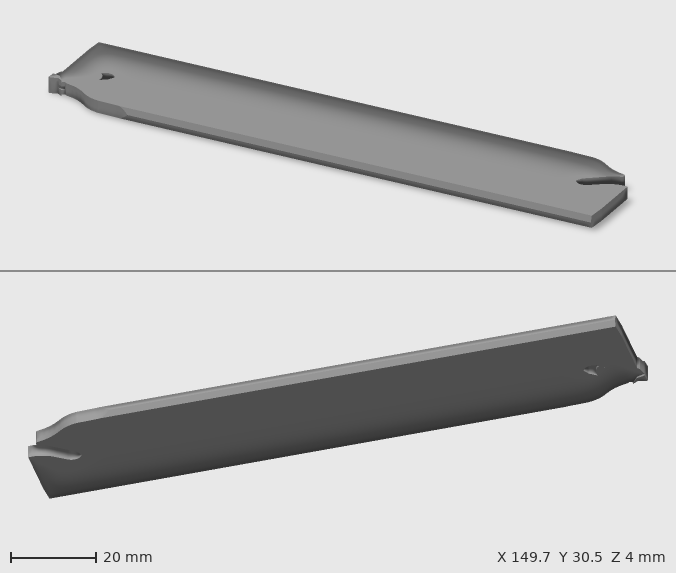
import cadquery as cq

LENGTH = 149.7
WIDTH = 30.5
THICKNESS = 3.1
RIDGE_HEIGHT = 0.52
HALF_LENGTH = LENGTH / 2
HALF_WIDTH = WIDTH / 2

END_BEND_Y = -10.2
SEAT_CORNER = (74.0, 3.9)
SEAT_SHOULDER = (69.9, 3.3)
SEAT_FOOT = (67.4, 1.6)
SLOT_LOWER = (65.3, 0.0)
SLOT_BOTTOM = (63.0, -0.22)
SLOT_REAR = (61.7, 1.0)
SLOT_UPPER = (62.4, 2.7)
CLAMP_UNDERSIDE = (67.8, 7.2)
CLAMP_LOWER = (69.6, 8.0)
CLAMP_TIP = (70.3, 8.5)
CLAMP_UPPER = (69.6, 9.6)
FLANK_MIDDLE = (66.6, 10.5)
FLANK_TURN = (63.6, 12.3)
FLANK_BEND = (61.2, 13.8)
RELIEF_START = (58.5, 14.5)
RELIEF_RISE = (54.0, 14.7)
RELIEF_MIDDLE = (52.1, 14.8)
RELIEF_END = (50.1, HALF_WIDTH)

CUTTING_WIDTH = 4.0
CUTTING_CORNER = (-HALF_LENGTH, -9.3)
HEAD_TOP = (-HALF_LENGTH, -6.9)
HEAD_SIDE = (-72.7, -7.5)
SHANK_FRONT_TOP = (-74.4, -4.6)
RAKE_MIDDLE = (-73.6, -9.1)
RAKE_END = (-72.6, -8.7)
CHIP_BUMP = (-71.1, -9.6)
BUMP_REAR = (-70.5, -9.1)
SHANK_REAR_TOP = (-65.7, -0.36)
SHANK_REAR_MIDDLE = (-64.5, -1.8)
SHANK_REAR_BOTTOM = (-64.2, -4.2)
SHANK_BELLY = (-66.6, -6.7)
SHANK_CLAMP_END = (-69.5, -8.7)
CHIP_NOTCH_WIDTH = 0.9
CHIP_NOTCH_FLOOR = -8.7


def half_turn(point):
    return (-point[0], -point[1])


def add_slot_end(outline, place):
    """Trace one blade end from its square corner to the end of the opposite ridge."""
    return (
        outline.lineTo(*place((HALF_LENGTH, END_BEND_Y)))
        .lineTo(*place(SEAT_CORNER))
        .threePointArc(place(SEAT_SHOULDER), place(SEAT_FOOT))
        .lineTo(*place(SLOT_LOWER))
        .threePointArc(place(SLOT_BOTTOM), place(SLOT_REAR))
        .lineTo(*place(SLOT_UPPER))
        .lineTo(*place(CLAMP_UNDERSIDE))
        .lineTo(*place(CLAMP_LOWER))
        .threePointArc(place(CLAMP_TIP), place(CLAMP_UPPER))
        .threePointArc(place(FLANK_MIDDLE), place(FLANK_TURN))
        .threePointArc(place(FLANK_BEND), place(RELIEF_START))
        .lineTo(*place(RELIEF_RISE))
        .threePointArc(place(RELIEF_MIDDLE), place(RELIEF_END))
    )


def in_place(point):
    return point


def extrude_centred(profile, thickness):
    """Extrude a closed profile equally above and below the XY plane."""
    return profile.extrude(thickness / 2, both=True)


def make_ridged_bar():
    """Bar with flat faces and V-shaped long edges."""
    face_half_width = HALF_WIDTH - RIDGE_HEIGHT
    half_thickness = THICKNESS / 2
    section = (
        cq.Workplane("YZ")
        .polyline([
            (-HALF_WIDTH, 0),
            (-face_half_width, -half_thickness),
            (face_half_width, -half_thickness),
            (HALF_WIDTH, 0),
            (face_half_width, half_thickness),
            (-face_half_width, half_thickness),
        ])
        .close()
    )
    return section.extrude(HALF_LENGTH, both=True)


def make_blade():
    outline = cq.Workplane("XY").moveTo(*half_turn(RELIEF_END)).lineTo(HALF_LENGTH, -HALF_WIDTH)
    outline = add_slot_end(outline, in_place)
    outline = outline.lineTo(-HALF_LENGTH, HALF_WIDTH)
    outline = add_slot_end(outline, half_turn).close()
    return make_ridged_bar().intersect(extrude_centred(outline, THICKNESS))


def make_shank():
    profile = (
        cq.Workplane("XY")
        .moveTo(*half_turn(SEAT_CORNER))
        .threePointArc(half_turn(SEAT_SHOULDER), half_turn(SEAT_FOOT))
        .lineTo(*SHANK_REAR_TOP)
        .threePointArc(SHANK_REAR_MIDDLE, SHANK_REAR_BOTTOM)
        .threePointArc(SHANK_BELLY, SHANK_CLAMP_END)
        .lineTo(*BUMP_REAR)
        .lineTo(*CHIP_BUMP)
        .lineTo(*RAKE_END)
        .lineTo(*HEAD_TOP)
        .lineTo(*SHANK_FRONT_TOP)
        .close()
    )
    return extrude_centred(profile, THICKNESS)


def make_head():
    """Wide cutting head with a hollow rake face along its underside."""
    profile = (
        cq.Workplane("XY")
        .moveTo(*HEAD_TOP)
        .lineTo(*CUTTING_CORNER)
        .threePointArc(RAKE_MIDDLE, RAKE_END)
        .lineTo(*CHIP_BUMP)
        .lineTo(*HEAD_SIDE)
        .close()
    )
    return extrude_centred(profile, CUTTING_WIDTH)


def make_chip_notch():
    length = BUMP_REAR[0] - RAKE_END[0]
    depth = CHIP_NOTCH_FLOOR - CHIP_BUMP[1]
    return (
        cq.Workplane("XY")
        .box(length, depth, CHIP_NOTCH_WIDTH, centered=(False, False, True))
        .translate((RAKE_END[0], CHIP_BUMP[1], 0))
    )


def make_insert():
    return make_shank().union(make_head()).cut(make_chip_notch())


insert = make_insert()
blade = make_blade().cut(make_shank())
result = cq.Compound.makeCompound([*blade.solids().vals(), *insert.solids().vals()])